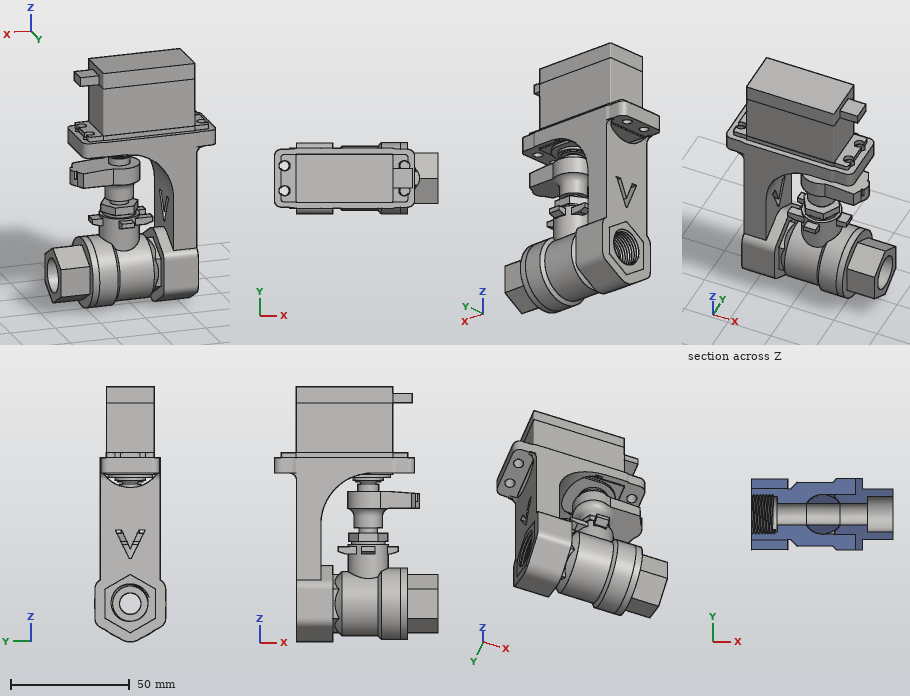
import cadquery as cq
import math


hex_flats = 21.3
valve_left = -30.2
valve_right = 29.4
body_radius = 13.5
flange_diameter = 30.2
cone_end = -11.1
flange_start = 5.5
flange_step_start = 4.1
cap_start = 13.6
spigot_start = 4.8
cap_ring_end = 16.5
ball_diameter = 16.6
port_diameter = 8.9

thread_major = 16.6
thread_minor = 14.8
thread_pitch = 1.3
thread_groove_width = 1.2
thread_overlap = 0.1
thread_depth = 10.7
thread_lead_in = 0.48

neck_diameter = 17.0
neck_top = 24.9
wing_reach_x = 12.7
wing_reach_y = 12.1
wing_width = 5.5
wing_pair_width = 13.7
wing_pair_gap = 6.0
wing_top = 24.0
wing_bottom = 20.8
wing_tip_height = 2.0
wing_slope_length = 3.2
nut_flats = 14.3
nut_bottom = 26.2
nut_top = 29.6
collar_diameter = 14.3
stem_diameter = 7.8
stem_top = 38.7

hub_diameter = 12.0
hub_bottom = 31.9
hub_flare_bottom = 36.5
arm_bottom = 40.1
arm_top = 47.3
arm_head_radius = 8.7
arm_half_width = 7.4
arm_straight_start = 5.0
arm_tangent_x = 2.5
arm_slope_start = 8.7
arm_tip_chamfer_x = 18.3
arm_tip_x = 21.6
arm_nose_half_width = 3.9
arm_tip_half_width = 2.8
arm_tip_drop = 1.0
tip_notch_x = 19.9
tip_notch_bottom = 43
socket_diameter = 9.0
socket_top = 50.3
shaft_socket_bottom = 46.2

servo_x = -10.0
case_length = 40.6
case_width = 20.2
skirt_width = 20.5
case_bottom = 54.2
case_edge_radius = 0.3
cover_bottom = 84.4
cover_top = 91.3
tab_length = 53.3
tab_width = 19.9
tab_bottom = 61.4
tab_top = 63.5
tab_corner_radius = 1.1
tab_hole_pitch_x = 49.8
screw_pitch_x = 50.8
screw_pitch_y = 10.5
screw_hole = 4.2
plug_reach = 8.3
plug_width = 8.4
plug_height = 4.0
boss_diameter = 18.8
boss_bottom = 53.0
boss_length = 8.6
bearing_diameter = 13.0
bearing_bottom = 51.9
shaft_collar_diameter = 10.6
shaft_collar_bottom = 51.2
shaft_diameter = 6.5

plate_length = 59.1
plate_end_width = 24.5
plate_corner_radius = 3.0
plate_bottom = 54.9
plate_top = tab_bottom
column_left = valve_left
column_right = -19.9
column_width = 25.3
column_corner_radius = 21.5
plate_flare_length = 1.4
bracket_fillet = 3.0
clamp_right = -14.9
clamp_wall = 4.3
clamp_reach = 16.1
arch_radius = 13.5
arch_center_z = 62.4
letter_top = 30.9
letter_bottom = 19.0
letter_notch = 23.0
letter_outer = 6.2
letter_inner = 3.7
letter_foot = 0.4


def rod(diameter, bottom, top):
    return cq.Workplane("XY").workplane(offset=bottom).circle(diameter / 2).extrude(top - bottom)


def rod_x(diameter, start, end):
    return cq.Workplane("YZ").workplane(offset=start).circle(diameter / 2).extrude(end - start)


def block(x_range, y_range, z_range):
    sizes = [high - low for low, high in (x_range, y_range, z_range)]
    corner = (x_range[0], y_range[0], z_range[0])
    return cq.Workplane("XY").box(*sizes, centered=False).translate(corner)


def hex_x(flats, start, end):
    """Hexagonal bar along X with a corner at the top."""
    corners = flats / math.cos(math.pi / 6)
    bar = cq.Workplane("XY").polygon(6, corners).extrude(end - start)
    return bar.rotate((0, 0, 0), (0, 1, 0), 90).translate((start, 0, 0))


def pipe_thread():
    """Cutter for a threaded hole that runs from X = 0 to X = thread_depth."""
    core = rod(thread_minor, 0, thread_depth)
    half_groove = thread_groove_width / 2
    root = thread_minor / 2 - thread_overlap
    helix = cq.Wire.makeHelix(thread_pitch, thread_depth - thread_pitch / 2, root)
    groove_points = [(root, -half_groove), (thread_major / 2, 0), (root, half_groove)]
    groove = cq.Workplane("XZ").polyline(groove_points).close().sweep(helix, isFrenet=True)
    groove = groove.translate((0, 0, -thread_lead_in))
    return core.union(groove).rotate((0, 0, 0), (0, 1, 0), 90)


def ball_envelope():
    return cq.Workplane("XY").sphere(ball_diameter / 2)


def make_ball():
    return ball_envelope().cut(rod_x(port_diameter, -ball_diameter, ball_diameter))


def wing(reach, width):
    """Stop wing toward +X with its underside sloping up to the tip."""
    profile = [
        (0, wing_top),
        (reach, wing_top),
        (reach, wing_top - wing_tip_height),
        (reach - wing_slope_length, wing_bottom),
        (0, wing_bottom),
    ]
    return cq.Workplane("XZ").polyline(profile).close().extrude(width / 2, both=True)


def wing_pair():
    """Two parallel wings toward -X with a gap between them."""
    half_gap = wing_pair_gap / 2
    gap = block((0, wing_reach_x), (-half_gap, half_gap), (wing_bottom, wing_top))
    return wing(wing_reach_x, wing_pair_width).cut(gap).rotate((0, 0, 0), (0, 0, 1), 180)


def make_valve_body():
    hex_end_x = cone_end - (body_radius - hex_flats / 2)
    flange_radius = flange_diameter / 2
    shell_profile = [
        (hex_end_x, 0),
        (hex_end_x, hex_flats / 2),
        (cone_end, body_radius),
        (flange_step_start, body_radius),
        (flange_start, flange_radius),
        (cap_start, flange_radius),
        (cap_start, 0),
    ]
    shell = cq.Workplane("XY").polyline(shell_profile).close().revolve(360, (0, 0, 0), (1, 0, 0))
    body = shell.union(hex_x(hex_flats, valve_left, cone_end)).union(rod(neck_diameter, 0, neck_top))
    body = body.union(wing_pair())
    for angle, reach in ((0, wing_reach_x), (90, wing_reach_y), (270, wing_reach_y)):
        body = body.union(wing(reach, wing_width).rotate((0, 0, 0), (0, 0, 1), angle))
    body = body.cut(rod_x(port_diameter, valve_left, 0))
    body = body.cut(pipe_thread().translate((valve_left, 0, 0)))
    body = body.cut(ball_envelope()).cut(rod_x(ball_diameter, 0, cap_start))
    return body.cut(rod(stem_diameter, 0, neck_top))


def make_valve_cap():
    """Ring and hexagonal end, with a spigot that holds the ball in the body."""
    ball_radius = ball_diameter / 2
    port_radius = port_diameter / 2
    thread_start = valve_right - thread_depth
    seat_start = math.sqrt(ball_radius**2 - spigot_start**2)
    seat_end_x = math.sqrt(ball_radius**2 - port_radius**2)
    ring_profile = (
        cq.Workplane("XY")
        .moveTo(spigot_start, seat_start)
        .lineTo(spigot_start, ball_radius)
        .lineTo(cap_start, ball_radius)
        .lineTo(cap_start, flange_diameter / 2)
        .lineTo(cap_ring_end, flange_diameter / 2)
        .lineTo(cap_ring_end, port_radius)
        .lineTo(seat_end_x, port_radius)
        .radiusArc((spigot_start, seat_start), -ball_radius)
        .close()
    )
    ring = ring_profile.revolve(360, (0, 0, 0), (1, 0, 0))
    hex_end = hex_x(hex_flats, cap_ring_end, valve_right)
    hex_end = hex_end.cut(rod_x(port_diameter, cap_ring_end, thread_start))
    hex_end = hex_end.cut(rod_x(thread_minor, thread_start, valve_right))
    return ring.union(hex_end)


def make_gland_nut():
    corners = nut_flats / math.cos(math.pi / 6)
    hexagon = cq.Workplane("XY").workplane(offset=nut_bottom).polygon(6, corners)
    hexagon = hexagon.extrude(nut_top - nut_bottom)
    nut = hexagon.union(rod(collar_diameter, neck_top, nut_bottom))
    return nut.cut(rod(stem_diameter, neck_top, nut_top))


def make_stem():
    return rod(stem_diameter, 0, stem_top).cut(ball_envelope())


def arm_plan():
    head = (arm_tangent_x, math.sqrt(arm_head_radius**2 - arm_tangent_x**2))
    return (
        cq.Workplane("XY")
        .workplane(offset=arm_bottom)
        .moveTo(head[0], -head[1])
        .threePointArc((-arm_head_radius, 0), head)
        .lineTo(arm_straight_start, arm_half_width)
        .lineTo(arm_tip_chamfer_x, arm_half_width)
        .lineTo(tip_notch_x, arm_nose_half_width)
        .threePointArc((arm_tip_x, 0), (tip_notch_x, -arm_nose_half_width))
        .lineTo(arm_tip_chamfer_x, -arm_half_width)
        .lineTo(arm_straight_start, -arm_half_width)
        .close()
        .extrude(arm_top - arm_bottom)
    )


def make_coupler():
    slope = (
        cq.Workplane("XZ")
        .polyline([(arm_slope_start, arm_top), (arm_tip_x, arm_top), (arm_tip_x, arm_top - arm_tip_drop)])
        .close()
        .extrude(arm_half_width, both=True)
    )
    arm = arm_plan().cut(slope)
    for y_range in ((arm_tip_half_width, arm_half_width), (-arm_half_width, -arm_tip_half_width)):
        arm = arm.cut(block((tip_notch_x, arm_tip_x), y_range, (tip_notch_bottom, arm_top)))
    hub_radius = hub_diameter / 2
    flare = arm_bottom - hub_flare_bottom
    hub = (
        cq.Workplane("XZ")
        .moveTo(0, hub_bottom)
        .lineTo(hub_radius, hub_bottom)
        .lineTo(hub_radius, hub_flare_bottom)
        .radiusArc((arm_head_radius, arm_bottom), flare)
        .lineTo(0, arm_bottom)
        .close()
        .revolve(360, (0, 0, 0), (0, 1, 0))
    )
    coupler = arm.union(hub).union(rod(socket_diameter, arm_top, socket_top))
    return coupler.cut(make_stem()).cut(rod(shaft_diameter, shaft_socket_bottom, socket_top))


def servo_outline(length, width, bottom, top, radius):
    outline = cq.Workplane("XY").workplane(offset=bottom).center(servo_x, 0)
    return outline.rect(length, width).extrude(top - bottom).edges("|Z").fillet(radius)


def screw_holes(pitch_x, bottom, top):
    pattern = cq.Workplane("XY").workplane(offset=bottom).center(servo_x, 0)
    return pattern.rarray(pitch_x, screw_pitch_y, 2, 2).circle(screw_hole / 2).extrude(top - bottom)


def make_servo_case():
    tabs = servo_outline(tab_length, tab_width, tab_bottom, tab_top, tab_corner_radius)
    tabs = tabs.cut(screw_holes(tab_hole_pitch_x, tab_bottom, tab_top))
    case = servo_outline(case_length, case_width, case_bottom, cover_bottom, case_edge_radius)
    boss = rod(boss_diameter, boss_bottom, case_bottom)
    boss = boss.union(boss.translate((-boss_length, 0, 0)))
    half_boss = boss_diameter / 2
    boss = boss.union(block((-boss_length, 0), (-half_boss, half_boss), (boss_bottom, case_bottom)))
    skirt = servo_outline(case_length, skirt_width, case_bottom, tab_top, case_edge_radius)
    case = case.union(skirt).union(tabs).union(boss)
    case = case.union(rod(bearing_diameter, bearing_bottom, boss_bottom))
    case = case.union(rod(shaft_collar_diameter, shaft_collar_bottom, bearing_bottom))
    return case.union(rod(shaft_diameter, shaft_socket_bottom, shaft_collar_bottom))


def make_servo_cover():
    cover = servo_outline(case_length, case_width, cover_bottom, cover_top, case_edge_radius)
    case_right = servo_x + case_length / 2
    plug = block(
        (servo_x, case_right + plug_reach),
        (-plug_width / 2, plug_width / 2),
        (cover_bottom, cover_bottom + plug_height),
    )
    return cover.union(plug)


def clamp_outline():
    """Hexagonal socket surround: rounded side corners, and blunter corners at top and bottom."""
    flats = hex_flats + 2 * clamp_wall
    clamp = hex_x(flats, column_left, clamp_right)
    sharp_reach = flats / 2 / math.cos(math.pi / 6)
    apex_radius = (sharp_reach - clamp_reach) / (1 / math.cos(math.pi / 6) - 1)
    clamp = clamp.edges("|X and (>Z or <Z)").fillet(apex_radius)
    return clamp.edges("|X and (>Y or <Y)").fillet(clamp_wall)


def mounting_plate():
    plate = servo_outline(plate_length, plate_end_width, plate_bottom, plate_top, plate_corner_radius)
    half = case_length / 2
    flared = half + plate_flare_length
    middle = [
        (-flared, plate_end_width / 2),
        (-half, column_width / 2),
        (half, column_width / 2),
        (flared, plate_end_width / 2),
    ]
    outline = middle + [(x, -y) for x, y in reversed(middle)]
    wide = cq.Workplane("XY").workplane(offset=plate_bottom).center(servo_x, 0).polyline(outline).close()
    return plate.union(wide.extrude(plate_top - plate_bottom))


def column():
    """Upright whose inner side sweeps in an arc up to the plate."""
    arc_end = (column_right + column_corner_radius, plate_bottom)
    arc_start = (column_right, plate_bottom - column_corner_radius)
    outer_start = (column_left, plate_bottom - bracket_fillet)
    outer_end = (column_left - bracket_fillet, plate_bottom)
    return (
        cq.Workplane("XZ")
        .moveTo(column_left, 0)
        .lineTo(column_right, 0)
        .lineTo(*arc_start)
        .radiusArc(arc_end, column_corner_radius)
        .lineTo(*outer_end)
        .radiusArc(outer_start, bracket_fillet)
        .close()
        .extrude(column_width / 2, both=True)
    )


def letter_v():
    points = [
        (-letter_outer, letter_top),
        (-letter_inner, letter_top),
        (0, letter_notch),
        (letter_inner, letter_top),
        (letter_outer, letter_top),
        (letter_foot, letter_bottom),
        (-letter_foot, letter_bottom),
    ]
    letter = cq.Workplane("YZ").workplane(offset=column_left).polyline(points).close()
    return letter.extrude(column_right - column_left)


def arch_opening():
    """Rounded passage through the top of the column, below the plate."""
    start = column_left - bracket_fillet
    passage = rod_x(2 * arch_radius, start, 0).translate((0, 0, arch_center_z))
    side = arch_radius
    return passage.intersect(block((start, 0), (-side, side), (0, plate_bottom)))


def make_bracket():
    bracket = column().cut(arch_opening()).union(mounting_plate()).union(clamp_outline())
    bracket = bracket.cut(hex_x(hex_flats, column_left, clamp_right)).cut(letter_v())
    bracket = bracket.cut(screw_holes(screw_pitch_x, plate_bottom, plate_top))
    return bracket.cut(make_servo_case())


bracket = make_bracket()
servo_case = make_servo_case()
servo_cover = make_servo_cover()
coupler = make_coupler()
stem = make_stem()
gland_nut = make_gland_nut()
valve_body = make_valve_body()
valve_cap = make_valve_cap()
ball = make_ball()

bodies = [bracket, servo_case, servo_cover, coupler, stem, gland_nut, valve_body, valve_cap, ball]
result = cq.Compound.makeCompound([body.solids().val() for body in bodies])